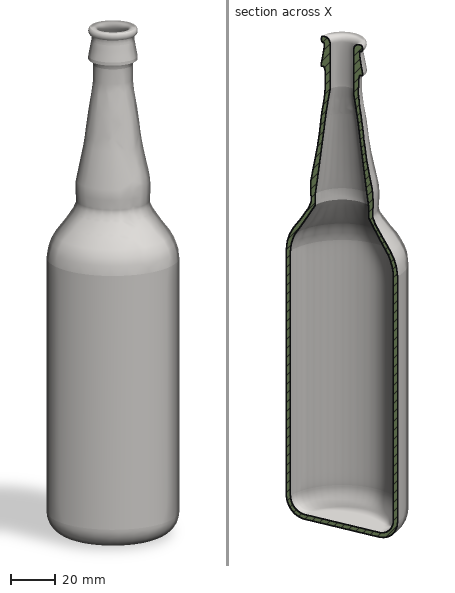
import cadquery as cq
import math

height = 238.5
body_radius = 60.0 / 2
cavity_radius = 55.0 / 2
wall = body_radius - cavity_radius
base_round = 10.0

shoulder_bottom = 129.8
shoulder_round = 19.0
shoulder_angle = math.radians(33.5)

foot_height = 153.0
foot_radius = 18.0
waist_height = 156.5
waist_radius = 16.7
taper_bottom = 160.5
bead_radius = 17.0
taper_top = 199.2
taper_top_radius = 11.2
throat_bottom = 213.5
throat_radius = 9.0
bore_radius = 6.2

collar_bottom = 223.5
collar_radius = 11.2
collar_band = 1.5
collar_top = 232.5
collar_top_radius = 9.8
collar_root_height = 2.5
collar_root_flare = 0.6
lip_bottom = 235.2
lip_neck_radius = 9.5
lip_radius = 11.2
lip_edge_radius = 10.5
mouth_round = 3.0

shoulder_arc_radius = body_radius - shoulder_round * (1 - math.cos(shoulder_angle))
shoulder_arc_top = shoulder_bottom + shoulder_round * math.sin(shoulder_angle)

taper_middle = ((bead_radius + taper_top_radius) / 2, (taper_bottom + taper_top) / 2)
flowing_curve = [
    (shoulder_arc_radius, shoulder_arc_top),
    (foot_radius, foot_height),
    (waist_radius, waist_height),
    (bead_radius, taper_bottom),
    taper_middle,
    (taper_top_radius, taper_top),
    (throat_radius, throat_bottom),
    (throat_radius, collar_bottom - collar_root_height),
]


def outer_body():
    """Solid bottle with its full outside shape, revolved about Z."""
    profile = (
        cq.Workplane("XZ")
        .lineTo(body_radius - base_round, 0)
        .tangentArcPoint((body_radius, base_round), relative=False)
        .lineTo(body_radius, shoulder_bottom)
        .spline(flowing_curve, tangents=[(0, 1), (0, 1)], includeCurrent=True)
        .lineTo(throat_radius + collar_root_flare, collar_bottom)
        .lineTo(collar_radius, collar_bottom)
        .lineTo(collar_radius, collar_bottom + collar_band)
        .lineTo(collar_top_radius, collar_top)
        .lineTo(lip_neck_radius, lip_bottom)
        .lineTo(lip_edge_radius, lip_bottom)
        .threePointArc((lip_radius, (lip_bottom + height) / 2), (lip_edge_radius, height))
        .lineTo(0, height)
        .close()
    )
    return profile.revolve(360, (0, 0), (0, 1))


def cavity():
    """Inside space: it follows the wall and opens through a rounded mouth."""
    cavity_round = base_round - wall
    inner_arc_radius = shoulder_arc_radius - wall * math.cos(shoulder_angle)
    inner_arc_top = shoulder_arc_top - wall * math.sin(shoulder_angle)
    inner_neck_radius = waist_radius - wall
    inner_cone_height = (inner_arc_radius - inner_neck_radius) / math.tan(shoulder_angle)
    mouth_mid = mouth_round * (1 - math.sqrt(0.5))
    profile = (
        cq.Workplane("XZ")
        .moveTo(0, wall)
        .lineTo(cavity_radius - cavity_round, wall)
        .tangentArcPoint((cavity_radius, base_round), relative=False)
        .lineTo(cavity_radius, shoulder_bottom)
        .tangentArcPoint((inner_arc_radius, inner_arc_top), relative=False)
        .lineTo(inner_neck_radius, inner_arc_top + inner_cone_height)
        .lineTo(inner_neck_radius, taper_bottom)
        .lineTo(taper_top_radius - wall, taper_top)
        .tangentArcPoint((bore_radius, throat_bottom), relative=False)
        .lineTo(bore_radius, height - mouth_round)
        .threePointArc(
            (bore_radius + mouth_mid, height - mouth_mid),
            (bore_radius + mouth_round, height),
        )
        .lineTo(0, height)
        .close()
    )
    return profile.revolve(360, (0, 0), (0, 1))


result = outer_body().cut(cavity())